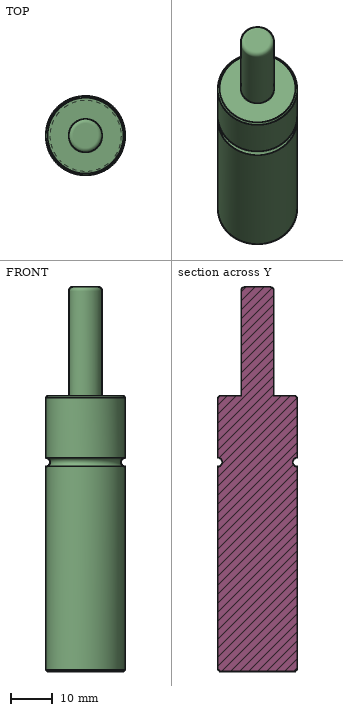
import cadquery as cq

total_height = 92.0
body_diameter = 19.0
body_height = 66.0
body_chamfer = 0.5

pin_diameter = 8.0
pin_tip_fillet = 1.0

groove_height = 50.05
groove_radius = 1.0


def make_body():
    """Cylinder with both end rims chamfered."""
    body = cq.Workplane("XY").circle(body_diameter / 2).extrude(body_height)
    return body.faces("<Z or >Z").edges().chamfer(body_chamfer)


def make_pin():
    """Pin with a rounded tip, standing on the body."""
    pin_length = total_height - body_height
    pin = cq.Workplane("XY").workplane(offset=body_height).circle(pin_diameter / 2).extrude(pin_length)
    return pin.faces(">Z").edges().fillet(pin_tip_fillet)


def make_groove_cutter():
    """Ring of circular section centred on the body surface."""
    section = cq.Workplane("XZ").center(body_diameter / 2, groove_height).circle(groove_radius)
    return section.revolve(360, (-body_diameter / 2, 0), (-body_diameter / 2, 1))


result = make_body().cut(make_groove_cutter()).union(make_pin())